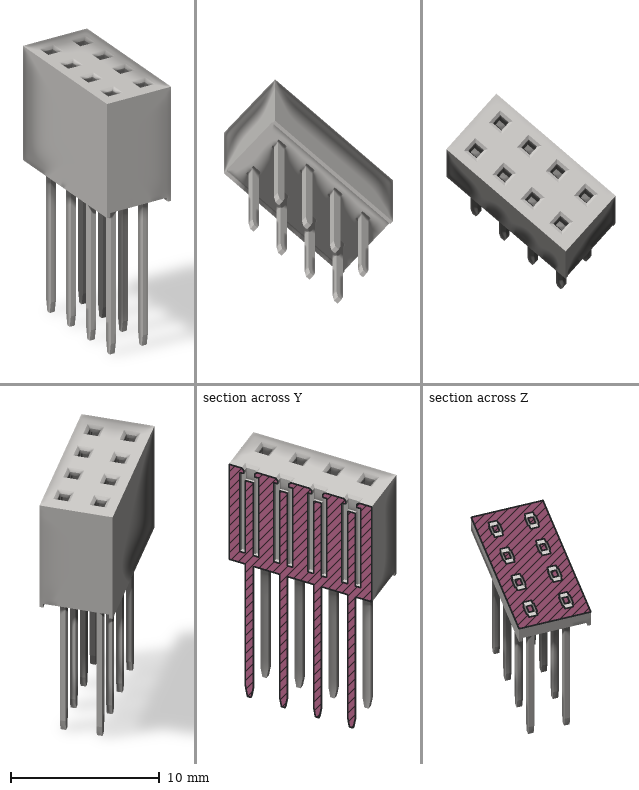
import cadquery as cq

overall_length = 10.67
overall_width = 5.09
overall_height = 19.5

housing_height = 8.5
lip_height = 0.31
lip_thickness = 0.25

columns = 4
rows = 2
pitch = 2.54

socket_length = 0.76
socket_width = 0.75
lead_in_side = 1.15
lead_in_depth = 0.2
relief_length = 1.36
relief_width = 0.58
relief_top_depth = 0.47

pin_width = 0.6
pin_thickness = 0.39
pin_top_depth = 0.98
tip_width = 0.31
tip_length = 0.84
web_height = 0.98

pin_bottom = housing_height - overall_height
web_top = lip_height + web_height
pin_top = housing_height - pin_top_depth
grid_points = [
    ((column - (columns - 1) / 2) * pitch, (row - (rows - 1) / 2) * pitch)
    for column in range(columns)
    for row in range(rows)
]


def make_housing():
    """Rectangular block with a recessed underside between two full-length lips."""
    block = cq.Workplane("XY").box(
        overall_length, overall_width, housing_height, centered=(True, True, False)
    )
    recess = cq.Workplane("XY").box(
        overall_length, overall_width - 2 * lip_thickness, lip_height, centered=(True, True, False)
    )
    return block.cut(recess)


def make_socket():
    """Cutter for one socket: straight hole, pyramidal lead-in and relief slots above the web."""
    hole = cq.Workplane("XY").rect(socket_length, socket_width).extrude(housing_height)
    lead_in = (
        cq.Workplane("XY", origin=(0, 0, housing_height - lead_in_depth))
        .rect(socket_length, socket_width)
        .workplane(offset=lead_in_depth)
        .rect(lead_in_side, lead_in_side)
        .loft(ruled=True)
    )
    relief_top = housing_height - relief_top_depth
    relief = cq.Workplane("XY", origin=(0, 0, web_top)).box(
        relief_length, relief_width, relief_top - web_top, centered=(True, True, False)
    )
    return hole.union(lead_in).union(relief)


def make_pin():
    """One blade with a tapered tip and a web that joins it to the socket walls."""
    shoulder = pin_bottom + tip_length
    blade = (
        cq.Workplane("XZ")
        .moveTo(-tip_width / 2, pin_bottom)
        .lineTo(tip_width / 2, pin_bottom)
        .lineTo(pin_width / 2, shoulder)
        .lineTo(pin_width / 2, pin_top)
        .lineTo(-pin_width / 2, pin_top)
        .lineTo(-pin_width / 2, shoulder)
        .close()
        .extrude(pin_thickness / 2, both=True)
    )
    web = cq.Workplane("XY", origin=(0, 0, lip_height)).box(
        socket_length, pin_thickness, web_height, centered=(True, True, False)
    )
    return blade.union(web)


result = make_housing()
socket = make_socket()
pin = make_pin()
for x, y in grid_points:
    result = result.cut(socket.translate((x, y, 0)))
    result = result.union(pin.translate((x, y, 0)))